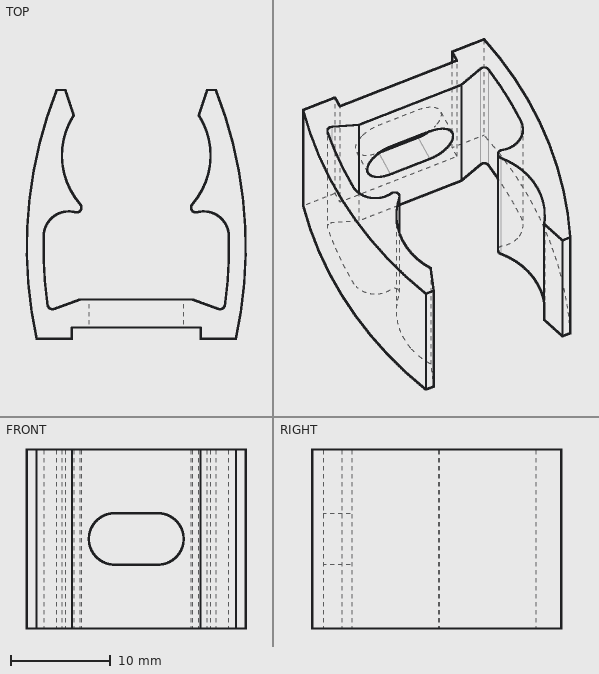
import cadquery as cq
import math


LENGTH = 18.0
HEIGHT = 25.0
MAX_HALF_WIDTH = 11.0

OUTER_RADIUS = 43.0
WIDEST_HEIGHT = 9.2
WALL_THICKNESS = 1.7
INNER_RADIUS = OUTER_RADIUS - WALL_THICKNESS
WALL_CENTRE = (MAX_HALF_WIDTH - OUTER_RADIUS, WIDEST_HEIGHT)

FOOT_INNER_X = 6.47
FOOT_HEIGHT = 1.15
FLOOR_HEIGHT = 3.97
FLOOR_HALF_WIDTH = 5.65
RAMP_ANGLE = math.radians(20)
CORNER_RADIUS = 0.5

SEAT_RADIUS = 7.45
SEAT_CENTRE = (0.0, 18.42)
LIP_HEIGHT = 22.45
TIP_WIDTH = 0.88

NOSE_RADIUS = 0.5
ROOF_RADIUS = 2.5
ROOF_CENTRE_HEIGHT = 10.3

SLOT_LENGTH = 9.5
SLOT_WIDTH = 5.15


def x_on_circle(centre, radius, y):
    """X of the right-hand point of a circle at height y."""
    return centre[0] + math.sqrt(radius**2 - (y - centre[1]) ** 2)


def point_towards(start, target, distance):
    """Point at a distance from start along the direction to target."""
    ratio = distance / math.dist(start, target)
    return (
        start[0] + ratio * (target[0] - start[0]),
        start[1] + ratio * (target[1] - start[1]),
    )


def right_hand_crossing(centre_a, radius_a, centre_b, radius_b):
    """Crossing of two circles that lies to the right of the direction from a to b."""
    gap = math.dist(centre_a, centre_b)
    along = (gap**2 + radius_a**2 - radius_b**2) / (2 * gap)
    across = math.sqrt(radius_a**2 - along**2)
    dx = (centre_b[0] - centre_a[0]) / gap
    dy = (centre_b[1] - centre_a[1]) / gap
    return (centre_a[0] + along * dx + across * dy, centre_a[1] + along * dy - across * dx)


def ramp_wall_corner():
    """Sharp corner where the ramp below the floor meets the inner wall arc."""
    dx = math.cos(RAMP_ANGLE)
    dy = -math.sin(RAMP_ANGLE)
    from_x = FLOOR_HALF_WIDTH - WALL_CENTRE[0]
    from_y = FLOOR_HEIGHT - WALL_CENTRE[1]
    half_b = from_x * dx + from_y * dy
    c = from_x**2 + from_y**2 - INNER_RADIUS**2
    travel = -half_b + math.sqrt(half_b**2 - c)
    return (FLOOR_HALF_WIDTH + travel * dx, FLOOR_HEIGHT + travel * dy)


CORNER = ramp_wall_corner()


def arc(wire, centre, radius, end, middle_y):
    """Add an arc on the right-hand half of a circle, through the given middle height."""
    return wire.threePointArc((x_on_circle(centre, radius, middle_y), middle_y), end)


def half_body():
    """Right half of the clip, with sharp cavity corners."""
    roof_centre = (
        x_on_circle(WALL_CENTRE, INNER_RADIUS - ROOF_RADIUS, ROOF_CENTRE_HEIGHT),
        ROOF_CENTRE_HEIGHT,
    )
    nose_centre = right_hand_crossing(
        roof_centre, ROOF_RADIUS + NOSE_RADIUS, SEAT_CENTRE, SEAT_RADIUS + NOSE_RADIUS
    )
    wall_roof = point_towards(WALL_CENTRE, roof_centre, INNER_RADIUS)
    roof_nose = point_towards(roof_centre, nose_centre, ROOF_RADIUS)
    nose_seat = point_towards(nose_centre, SEAT_CENTRE, NOSE_RADIUS)

    roof_chord_middle = ((wall_roof[0] + roof_nose[0]) / 2, (wall_roof[1] + roof_nose[1]) / 2)
    roof_middle = point_towards(roof_centre, roof_chord_middle, ROOF_RADIUS)
    nose_chord_middle = ((roof_nose[0] + nose_seat[0]) / 2, (roof_nose[1] + nose_seat[1]) / 2)
    nose_middle = point_towards(nose_centre, nose_chord_middle, NOSE_RADIUS)

    foot_outer = (x_on_circle(WALL_CENTRE, OUTER_RADIUS, 0), 0)
    tip_outer = (x_on_circle(WALL_CENTRE, OUTER_RADIUS, HEIGHT), HEIGHT)
    lip = (x_on_circle(SEAT_CENTRE, SEAT_RADIUS, LIP_HEIGHT), LIP_HEIGHT)

    wire = cq.Workplane("XY").moveTo(0, FOOT_HEIGHT)
    wire = wire.lineTo(FOOT_INNER_X, FOOT_HEIGHT).lineTo(FOOT_INNER_X, 0).lineTo(*foot_outer)
    wire = arc(wire, WALL_CENTRE, OUTER_RADIUS, tip_outer, HEIGHT / 2)
    wire = wire.lineTo(tip_outer[0] - TIP_WIDTH, HEIGHT).lineTo(*lip)
    wire = arc(wire, SEAT_CENTRE, SEAT_RADIUS, nose_seat, SEAT_CENTRE[1])
    wire = wire.threePointArc(nose_middle, roof_nose)
    wire = wire.threePointArc(roof_middle, wall_roof)
    wire = arc(wire, WALL_CENTRE, INNER_RADIUS, CORNER, (wall_roof[1] + CORNER[1]) / 2)
    wire = wire.lineTo(FLOOR_HALF_WIDTH, FLOOR_HEIGHT).lineTo(0, FLOOR_HEIGHT).close()
    return wire.extrude(LENGTH)


def round_cavity_corner(body):
    """Round the edge between the ramp and the inner wall."""
    corner_edge = cq.selectors.NearestToPointSelector((*CORNER, LENGTH / 2))
    return body.edges("|Z").edges(corner_edge).fillet(CORNER_RADIUS)


def mounting_slot():
    """Rounded slot along X that passes through the full floor thickness."""
    return (
        cq.Workplane("XZ", origin=(0, 0, LENGTH / 2))
        .slot2D(SLOT_LENGTH, SLOT_WIDTH)
        .extrude(-FLOOR_HEIGHT)
    )


half = round_cavity_corner(half_body())
clip = half.union(half.mirror("YZ")).clean()
result = clip.cut(mounting_slot())